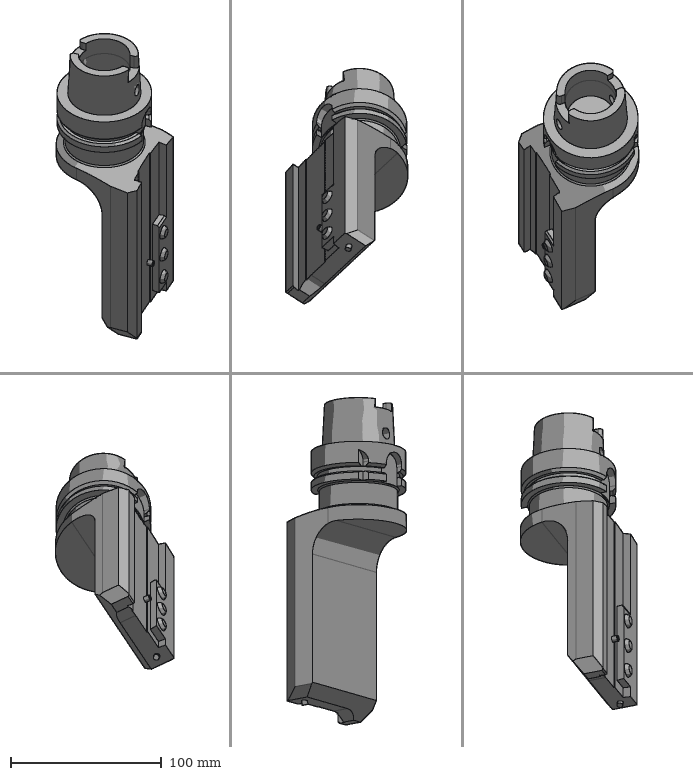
import cadquery as cq
import math


shank_length = 32.0
shank_base_radius = 24.3
shank_top_radius = 22.7
bore_mouth_radius = 34.05 / 2
bore_mouth_depth = 12.5
bore_floor_z = 2.0
bore_floor_radius = 15.8
cross_hole_diameter = 7.5
cross_hole_z = 9.3

drive_key_width = 12.54
drive_key_corner_x = 18.6
drive_key_corner_radius = 2.5
drive_key_depth_left = 5.8
drive_key_depth_right = 10.0

flange_radius = 62.94 / 2
flange_bottom_z = -25.8
groove_radius = 27.45
groove_upper_edge_z = -14.4
groove_top_z = -16.3
groove_bottom_z = -19.8
groove_lower_edge_z = -21.1
groove_lower_slope = 30.0
keyway_width = 16.0
keyway_top_z = -4.8
keyway_floor_x = 26.2
notch_width = 17.0
notch_y = 28.2
notch_floor_x = 19.9

neck_radius = 52.2 / 2
neck_relief = 1.0
shoulder_top_z = -41.9
shoulder_angle = 15.0
shoulder_end_radius = 60.0

disc_radius = 32.0
disc_bottom_z = -53.3
blade_back_x = 13.4
blade_face_x = 37.25
blade_front_y = -37.0
blade_corner_fillet = 40.08 / 2
side_slope_angle = 12.0
front_chamfer = 4.9
rear_slope_start_x = 28.2
rear_slope_angle = 15.0
blade_bottom_z = shank_length - 206.9

bevel_start_z = -160.8
bevel_end_x = 23.4
rear_bottom_z = -169.6
rear_corner_y = 29.9
rear_corner_z = -161.6
bottom_arc_start_y = -12.5
hump_rear_y = -23.8
hump_front_y = -31.2
front_corner_z = -165.9
tip_chamfer = 1.0

pocket_floor_x = 32.2
pocket_front_y = -24.9
pocket_rear_y = 17.1
pocket_wall_rise = 0.6
relief_floor_x = 31.5
relief_front_y = -17.3
relief_rear_y = 2.5

bar_front_y = 6.1
bar_chamfer = 1.3
screw_y = 11.6
screw_diameter = 9.5
screw_head_height = 2.5
screw_tip_radius = 2.8
screw_dome_radius = 4.0
screw_pitch = 18.75
screw_count = 3
screw_middle_z = -134.1
bar_length = screw_count * screw_pitch

pin_diameter = 4.0
stop_pin_y = 0.0
stop_pin_end_x = 35.6
stop_pin_chamfer = 0.4
end_pin_x = 28.0
end_pin_y = 21.7
end_pin_tip_z = -172.2
end_pin_length = 10.0
end_pin_tilt = 18.0

overcut = 5.0


def tan_deg(angle):
    return math.tan(math.radians(angle))


def box_between(x0, x1, y0, y1, z0, z1):
    return cq.Workplane("XY").box(x1 - x0, y1 - y0, z1 - z0, centered=False).translate((x0, y0, z0))


def make_turned_head():
    """Shank, flange and neck as one turned body that ends inside the disc."""
    lower_lip_radius = groove_radius + (groove_bottom_z - groove_lower_edge_z) / tan_deg(groove_lower_slope)
    upper_lip_radius = flange_radius - (groove_upper_edge_z - groove_top_z)
    neck_foot_z = shoulder_top_z - neck_relief * tan_deg(shoulder_angle)
    return (
        cq.Workplane("XZ")
        .moveTo(0, disc_bottom_z)
        .lineTo(neck_radius + neck_relief, disc_bottom_z)
        .lineTo(neck_radius + neck_relief, neck_foot_z)
        .lineTo(neck_radius, neck_foot_z + neck_relief)
        .lineTo(neck_radius, flange_bottom_z - neck_relief)
        .lineTo(neck_radius + neck_relief, flange_bottom_z)
        .lineTo(flange_radius, flange_bottom_z)
        .lineTo(flange_radius, groove_lower_edge_z)
        .lineTo(lower_lip_radius, groove_bottom_z)
        .lineTo(groove_radius, groove_bottom_z)
        .lineTo(groove_radius, groove_top_z)
        .lineTo(upper_lip_radius, groove_top_z)
        .lineTo(flange_radius, groove_upper_edge_z)
        .lineTo(flange_radius, 0)
        .lineTo(shank_base_radius, 0)
        .lineTo(shank_top_radius, shank_length)
        .lineTo(0, shank_length)
        .close()
        .revolve(360, (0, 0, 0), (0, 1, 0))
    )


def make_bore():
    """Cylindrical mouth followed by a slight taper down to a flat floor."""
    return (
        cq.Workplane("XZ")
        .moveTo(0, bore_floor_z)
        .lineTo(bore_floor_radius, bore_floor_z)
        .lineTo(bore_mouth_radius, shank_length - bore_mouth_depth)
        .lineTo(bore_mouth_radius, shank_length)
        .lineTo(0, shank_length)
        .close()
        .revolve(360, (0, 0, 0), (0, 1, 0))
    )


def make_drive_key(depth):
    """Rim slot on the +X side whose mouth flares outwards on a round corner."""
    half = drive_key_width / 2
    flare_x = drive_key_corner_x + drive_key_corner_radius
    flare_y = half + drive_key_corner_radius
    end_x = flange_radius
    end_y = flare_y + overcut
    return (
        cq.Workplane("XY")
        .workplane(offset=shank_length - depth)
        .moveTo(0, -half)
        .lineTo(drive_key_corner_x, -half)
        .radiusArc((flare_x, -flare_y), drive_key_corner_radius)
        .lineTo(flare_x, -end_y)
        .lineTo(end_x, -end_y)
        .lineTo(end_x, end_y)
        .lineTo(flare_x, end_y)
        .lineTo(flare_x, flare_y)
        .radiusArc((drive_key_corner_x, half), drive_key_corner_radius)
        .lineTo(0, half)
        .close()
        .extrude(depth + overcut)
    )


def make_flange_slot(width, center_y, floor_x):
    """Round-topped slot milled along X into the -X side of the flange, open at the bottom."""
    radius = width / 2
    center_z = keyway_top_z - radius
    return (
        cq.Workplane("YZ")
        .workplane(offset=-flange_radius - overcut)
        .moveTo(center_y - radius, flange_bottom_z)
        .lineTo(center_y - radius, center_z)
        .threePointArc((center_y, keyway_top_z), (center_y + radius, center_z))
        .lineTo(center_y + radius, flange_bottom_z)
        .close()
        .extrude(flange_radius + overcut - floor_x)
    )


def make_head():
    head = make_turned_head().cut(make_bore())
    cross_hole = (
        cq.Workplane("YZ")
        .center(0, cross_hole_z)
        .circle(cross_hole_diameter / 2)
        .extrude(flange_radius, both=True)
    )
    keyway = make_flange_slot(keyway_width, 0, keyway_floor_x)
    return (
        head.cut(cross_hole)
        .cut(make_drive_key(drive_key_depth_right))
        .cut(make_drive_key(drive_key_depth_left).mirror("YZ"))
        .cut(keyway)
        .cut(keyway.mirror("YZ"))
        .cut(make_flange_slot(notch_width, notch_y, notch_floor_x))
    )


def make_plan_outline():
    """Disc merged with the blade, seen along Z, as a full-height prism."""
    slope = math.radians(side_slope_angle)
    tangent_x = -disc_radius * math.sin(slope)
    tangent_y = -disc_radius * math.cos(slope)
    side_end_x = tangent_x + (tangent_y - blade_front_y) / math.tan(slope)
    rear_end_y = disc_radius - (blade_face_x - rear_slope_start_x) * tan_deg(rear_slope_angle)
    return (
        cq.Workplane("XY")
        .workplane(offset=blade_bottom_z)
        .moveTo(0, disc_radius)
        .threePointArc((-disc_radius, 0), (tangent_x, tangent_y))
        .lineTo(side_end_x, blade_front_y)
        .lineTo(blade_face_x - front_chamfer, blade_front_y)
        .lineTo(blade_face_x, blade_front_y + front_chamfer)
        .lineTo(blade_face_x, rear_end_y)
        .lineTo(rear_slope_start_x, disc_radius)
        .close()
        .extrude(-blade_bottom_z)
    )


def make_side_profile():
    """Disc underside, inner corner and lower bevel of the blade, extruded along Y."""
    corner_x = blade_back_x - blade_corner_fillet
    corner_z = disc_bottom_z - blade_corner_fillet
    mid = blade_corner_fillet * math.sqrt(0.5)
    return (
        cq.Workplane("XZ")
        .moveTo(-disc_radius, 0)
        .lineTo(-disc_radius, disc_bottom_z)
        .lineTo(corner_x, disc_bottom_z)
        .threePointArc((corner_x + mid, corner_z + mid), (blade_back_x, corner_z))
        .lineTo(blade_back_x, bevel_start_z)
        .lineTo(bevel_end_x, blade_bottom_z)
        .lineTo(blade_face_x - tip_chamfer, blade_bottom_z)
        .lineTo(blade_face_x, blade_bottom_z + tip_chamfer)
        .lineTo(blade_face_x, 0)
        .close()
        .extrude(2 * disc_radius, both=True)
    )


def make_end_profile():
    """Lower outline of the blade seen along X: raised rear part and a hump at the front."""
    hump_height = rear_bottom_z - blade_bottom_z
    run = bottom_arc_start_y - hump_rear_y
    arc_radius = (run**2 + hump_height**2) / (2 * hump_height)
    return (
        cq.Workplane("YZ")
        .moveTo(disc_radius, 0)
        .lineTo(disc_radius, rear_corner_z)
        .lineTo(rear_corner_y, rear_bottom_z)
        .lineTo(bottom_arc_start_y, rear_bottom_z)
        .radiusArc((hump_rear_y, blade_bottom_z), -arc_radius)
        .lineTo(hump_front_y, blade_bottom_z)
        .lineTo(blade_front_y, front_corner_z)
        .lineTo(blade_front_y, 0)
        .close()
        .extrude(2 * disc_radius, both=True)
    )


def make_shoulder_cone():
    """Solid below the conical shoulder surface."""
    slope = tan_deg(shoulder_angle)
    apex_z = shoulder_top_z + neck_radius * slope
    return (
        cq.Workplane("XZ")
        .moveTo(0, blade_bottom_z)
        .lineTo(0, apex_z)
        .lineTo(shoulder_end_radius, apex_z - shoulder_end_radius * slope)
        .lineTo(shoulder_end_radius, blade_bottom_z)
        .close()
        .revolve(360, (0, 0, 0), (0, 1, 0))
    )


def make_pocket():
    """Full-height recess in the +X face with slightly inclined end walls."""
    recess = (
        cq.Workplane("XY")
        .workplane(offset=blade_bottom_z)
        .moveTo(pocket_floor_x, pocket_front_y)
        .lineTo(blade_face_x, pocket_front_y + pocket_wall_rise)
        .lineTo(blade_face_x, pocket_rear_y + pocket_wall_rise)
        .lineTo(pocket_floor_x, pocket_rear_y)
        .close()
        .extrude(-blade_bottom_z)
    )
    relief = box_between(
        relief_floor_x, pocket_floor_x, relief_front_y, relief_rear_y, blade_bottom_z, 0
    )
    return recess.union(relief)


def make_clamp_bar():
    bottom_z = screw_middle_z - bar_length / 2
    return (
        cq.Workplane("XY")
        .workplane(offset=bottom_z)
        .moveTo(pocket_floor_x, bar_front_y)
        .lineTo(blade_face_x, bar_front_y - pocket_wall_rise)
        .lineTo(blade_face_x, pocket_rear_y + pocket_wall_rise)
        .lineTo(pocket_floor_x, pocket_rear_y)
        .close()
        .extrude(bar_length)
        .faces(">Z")
        .edges(">X")
        .chamfer(bar_chamfer)
    )


def make_screw_head(z):
    """Domed head with a flat tip, turned about an axis along X."""
    return (
        cq.Workplane("XY")
        .lineTo(0, screw_diameter / 2)
        .radiusArc((screw_head_height, screw_tip_radius), screw_dome_radius)
        .lineTo(screw_head_height, 0)
        .close()
        .revolve(360, (0, 0, 0), (1, 0, 0))
        .translate((blade_face_x, screw_y, z))
    )


def make_stop_pin():
    return (
        cq.Workplane("YZ")
        .workplane(offset=blade_back_x + overcut)
        .center(stop_pin_y, screw_middle_z)
        .circle(pin_diameter / 2)
        .extrude(stop_pin_end_x - blade_back_x - overcut)
        .faces(">X")
        .edges()
        .chamfer(stop_pin_chamfer)
    )


def make_end_pin():
    """Tilted pin that pokes out of the raised lower edge."""
    return (
        cq.Workplane("XY")
        .circle(pin_diameter / 2)
        .extrude(end_pin_length)
        .rotate((0, 0, 0), (1, 0, 0), -end_pin_tilt)
        .translate((end_pin_x, end_pin_y, end_pin_tip_z))
    )


def make_blade():
    blade = (
        make_plan_outline()
        .intersect(make_side_profile())
        .intersect(make_end_profile())
        .intersect(make_shoulder_cone())
        .cut(make_pocket())
        .union(make_clamp_bar())
        .union(make_stop_pin())
        .union(make_end_pin())
    )
    for index in range(screw_count):
        z = screw_middle_z + (index - (screw_count - 1) / 2) * screw_pitch
        blade = blade.union(make_screw_head(z))
    return blade


result = make_head().union(make_blade())